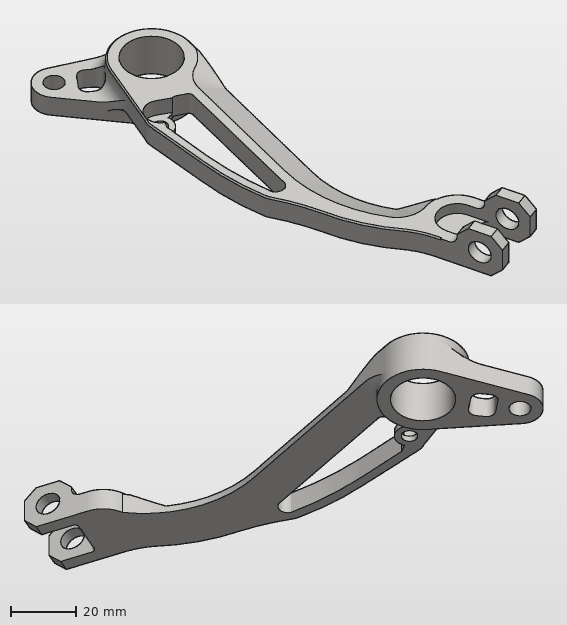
import cadquery as cq
import math


LUG_TOP = 7.2
ARM_BOTTOM = 7.2
ARM_TOP = 15.1
TOTAL_HEIGHT = 23.0

BOSS_RADIUS = 14.1
BORE_DIAMETER = 20.0
LUG_RADIUS = 7.0
LUG_X, LUG_Y = -25.1, -16.4
LUG_HOLE_DIAMETER = 6.7
LUG_WINDOW_DISTANCE = 18.6
LUG_WINDOW_WIDTH = 8.5
LUG_WINDOW_LENGTH = 10.3
LUG_WINDOW_CORNER = 2.8
UPPER_COVE_RADIUS = 5.5
LOWER_COVE_RADIUS = 4.0
COVE_OVERLAP = 1.7
FLANK_COVE_LENGTH = 17.2
NOTCH_RADIUS = 9.5

ARM_UPPER_SLOPE = 28.0
ARM_BEND_RADIUS = 42.2
ARM_BEND_X = 85.7
ARM_LOWER_SLOPE = 37.0
EDGE_CHAMFER = 0.5

BEVEL_WIDTH = 10.2
BEVEL_DEPTH = 5.3
BEVEL_END_X = 97.0
BEVEL_FORK_ANGLE = 120.0

PAD_X, PAD_Y = 14.5, -21.3
PAD_HOLE_DIAMETER = 5.0
PAD_RADIUS = 4.6
PAD_RECESS_RADIUS = 5.3
PAD_RECESS_DEPTH = 5.9

FORK_X, FORK_Y = 118.4, -22.9
FORK_WIDTH = 22.0
FORK_GAP = 13.8
FORK_FLOOR_END = 124.1
FORK_FLOOR_CORNER = 1.4
FORK_POCKET_DEPTH = 4.0
EAR_HALF_SIZE = (TOTAL_HEIGHT - ARM_BOTTOM) / 2
EAR_HOLE_DIAMETER = 8.0
EAR_END_X = 172.1 + LUG_X - LUG_RADIUS
EAR_CORNER = 4.0
EAR_ROOT_RADIUS = 3.0

THROUGH = 3 * TOTAL_HEIGHT
FORK_RADIUS = FORK_WIDTH / 2
FORK_LOW_Y = FORK_Y - FORK_RADIUS


def polar(radius, degrees, x=0.0, y=0.0):
    angle = math.radians(degrees)
    return (x + radius * math.cos(angle), y + radius * math.sin(angle))


def cylinder(x, y, diameter, bottom, height):
    return cq.Workplane("XY", origin=(x, y, bottom)).circle(diameter / 2).extrude(height)


upper_tangent = polar(BOSS_RADIUS, 90 - ARM_UPPER_SLOPE)
bend_start_x = ARM_BEND_X - ARM_BEND_RADIUS * math.sin(math.radians(ARM_UPPER_SLOPE))
bend_start_y = upper_tangent[1] - (bend_start_x - upper_tangent[0]) * math.tan(math.radians(ARM_UPPER_SLOPE))
bend_start = (bend_start_x, bend_start_y)
bend_center_y = bend_start_y + ARM_BEND_RADIUS * math.cos(math.radians(ARM_UPPER_SLOPE))


def on_bend(x):
    return (x, bend_center_y - math.sqrt(ARM_BEND_RADIUS**2 - (x - ARM_BEND_X) ** 2))


def circle_crossing():
    """Lower-left meeting point of the bend and the rounded fork end."""
    dx, dy = FORK_X - ARM_BEND_X, FORK_Y - bend_center_y
    distance = math.hypot(dx, dy)
    along = (distance**2 + ARM_BEND_RADIUS**2 - FORK_RADIUS**2) / (2 * distance)
    across = math.sqrt(ARM_BEND_RADIUS**2 - along**2)
    return (
        ARM_BEND_X + (along * dx + across * dy) / distance,
        bend_center_y + (along * dy - across * dx) / distance,
    )


lug_axis = math.degrees(math.atan2(LUG_Y, LUG_X))
lug_spread = math.degrees(math.acos((BOSS_RADIUS - LUG_RADIUS) / math.hypot(LUG_X, LUG_Y)))
arm_flank_normal = 270 - ARM_LOWER_SLOPE
lug_flank_normal = (lug_axis + lug_spread) % 360


def arm_blank():
    lower_tangent = polar(BOSS_RADIUS, arm_flank_normal)
    fork_join = circle_crossing()
    return (
        cq.Workplane("XY", origin=(0, 0, ARM_BOTTOM))
        .moveTo(*upper_tangent)
        .lineTo(*bend_start)
        .threePointArc(on_bend(ARM_BEND_X), fork_join)
        .threePointArc(polar(FORK_RADIUS, 125, FORK_X, FORK_Y), (FORK_X, FORK_Y + FORK_RADIUS))
        .lineTo(FORK_X, FORK_LOW_Y)
        .lineTo(116.2, FORK_LOW_Y)
        .threePointArc((111.9, -34.2), (107.4, -35.3))
        .threePointArc((93.8, -39.0), (79.9, -40.0))
        .threePointArc((71.8, -40.3), (63.7, -41.5))
        .threePointArc((62.5, -41.7), (61.3, -41.7))
        .threePointArc((48.9, -39.8), (37.0, -36.3))
        .lineTo(14.6, -28.5)
        .threePointArc((13.3, -27.9), (12.0, -26.8))
        .lineTo(*lower_tangent)
        .threePointArc((-BOSS_RADIUS, 0), upper_tangent)
        .close()
        .extrude(ARM_TOP - ARM_BOTTOM)
    )


def lug_plate(bottom, height):
    """Plate tangent to the lug circle and the boss circle."""
    return (
        cq.Workplane("XY", origin=(0, 0, bottom))
        .moveTo(*polar(BOSS_RADIUS, lug_axis + lug_spread))
        .threePointArc(polar(BOSS_RADIUS, lug_axis + 180), polar(BOSS_RADIUS, lug_axis - lug_spread))
        .lineTo(*polar(LUG_RADIUS, lug_axis - lug_spread, LUG_X, LUG_Y))
        .threePointArc(
            polar(LUG_RADIUS, lug_axis, LUG_X, LUG_Y),
            polar(LUG_RADIUS, lug_axis + lug_spread, LUG_X, LUG_Y),
        )
        .close()
        .extrude(height)
    )


def notch_fill():
    """Web that rounds the notch between the lug flank and the arm flank."""
    half_turn = (lug_flank_normal - arm_flank_normal) / 2
    bisector = arm_flank_normal + half_turn
    shrink = math.cos(math.radians(half_turn))
    center = polar((BOSS_RADIUS + NOTCH_RADIUS) / shrink, bisector)
    return (
        cq.Workplane("XY")
        .moveTo(0, 0)
        .lineTo(*polar(NOTCH_RADIUS, lug_flank_normal + 180, *center))
        .threePointArc(
            polar(NOTCH_RADIUS, bisector + 180, *center),
            polar(NOTCH_RADIUS, arm_flank_normal + 180, *center),
        )
        .close()
        .extrude(ARM_TOP)
    )


def boss_cove(level, radius, direction, flank_normal):
    """Concave fillet around the boss and along the flank tangent to it."""
    hollow = polar(radius, -135, BOSS_RADIUS + radius, radius)
    section = (
        cq.Workplane("XZ")
        .moveTo(BOSS_RADIUS - COVE_OVERLAP, 0)
        .lineTo(BOSS_RADIUS + radius, 0)
        .threePointArc(hollow, (BOSS_RADIUS, radius))
        .lineTo(BOSS_RADIUS - COVE_OVERLAP, radius)
        .close()
    )
    ring = section.revolve(360, (0, 0, 0), (0, 1, 0))
    length = -direction * FLANK_COVE_LENGTH
    flank = section.toPending().extrude(length).rotate((0, 0, 0), (0, 0, 1), flank_normal)
    cove = ring.union(flank, clean=False)
    if direction < 0:
        cove = cove.mirror("XY")
    return cove.translate((0, 0, level))


def upper_cove():
    """Cove from the lug top up to the arm's side, kept within the lug outline."""
    footprint = lug_plate(LUG_TOP, UPPER_COVE_RADIUS).union(notch_fill(), clean=False)
    return boss_cove(LUG_TOP, UPPER_COVE_RADIUS, 1, arm_flank_normal).intersect(footprint)


def lower_cove():
    """Cove from the boss's side up to the arm's underside, kept within the arm outline."""
    footprint = arm_blank().translate((0, 0, -LOWER_COVE_RADIUS)).union(notch_fill(), clean=False)
    return boss_cove(ARM_BOTTOM, LOWER_COVE_RADIUS, -1, lug_flank_normal).intersect(footprint)


def swept_bevel(center, edge_radius, crest_radius, first_angle, last_angle):
    """Triangular bevel section turned about a vertical axis between two angles."""
    foot = ARM_TOP - BEVEL_DEPTH
    return (
        cq.Workplane("XZ")
        .polyline([(edge_radius, foot), (crest_radius, ARM_TOP), (edge_radius, ARM_TOP)])
        .close()
        .revolve(last_angle - first_angle, (0, 0, 0), (0, 1, 0))
        .rotate((0, 0, 0), (0, 0, 1), first_angle)
        .translate((center[0], center[1], 0))
    )


def bevel_cone(point):
    """Round end of the bevel, pointing down onto the arm's edge."""
    return cq.Workplane(
        cq.Solid.makeCone(0, BEVEL_WIDTH, BEVEL_DEPTH, cq.Vector(*point, ARM_TOP - BEVEL_DEPTH))
    )


def bevel_cutters():
    boss_reach = BOSS_RADIUS + BEVEL_WIDTH
    along_edge = math.sqrt(boss_reach**2 - BOSS_RADIUS**2)
    start_angle = 90 - ARM_UPPER_SLOPE - math.degrees(math.atan2(along_edge, BOSS_RADIUS))
    start = polar(boss_reach, start_angle)
    end = on_bend(BEVEL_END_X)

    straight_length = math.hypot(bend_start[0] - start[0], bend_start[1] - start[1])
    straight = (
        cq.Workplane("YZ")
        .polyline([(0, ARM_TOP - BEVEL_DEPTH), (-BEVEL_WIDTH, ARM_TOP), (0, ARM_TOP)])
        .close()
        .extrude(straight_length)
        .rotate((0, 0, 0), (0, 0, 1), -ARM_UPPER_SLOPE)
        .translate((start[0], start[1], 0))
    )

    bend_center = (ARM_BEND_X, bend_center_y)
    end_angle = math.degrees(math.atan2(end[1] - bend_center_y, end[0] - ARM_BEND_X))
    bend = swept_bevel(
        bend_center, ARM_BEND_RADIUS, ARM_BEND_RADIUS + BEVEL_WIDTH, -90 - ARM_UPPER_SLOPE, end_angle
    )

    around_boss = swept_bevel((0, 0), boss_reach, BOSS_RADIUS, start_angle, 90 - ARM_UPPER_SLOPE)

    fork_reach = math.hypot(end[0] - FORK_X, end[1] - FORK_Y)
    fork_angle = math.degrees(math.atan2(end[1] - FORK_Y, end[0] - FORK_X)) % 360
    around_fork = swept_bevel(
        (FORK_X, FORK_Y), fork_reach, fork_reach - BEVEL_WIDTH, BEVEL_FORK_ANGLE, fork_angle
    )
    return [straight, bend, around_boss, around_fork, bevel_cone(start), bevel_cone(end)]


def fork_ears():
    middle_x = EAR_END_X - EAR_HALF_SIZE
    left_x = middle_x - EAR_HALF_SIZE
    shoulder = TOTAL_HEIGHT - EAR_CORNER
    root_mid = polar(EAR_ROOT_RADIUS, -45, left_x - EAR_ROOT_RADIUS, ARM_TOP + EAR_ROOT_RADIUS)
    ears = (
        cq.Workplane("XZ", origin=(0, FORK_LOW_Y, 0))
        .moveTo(FORK_X, ARM_BOTTOM)
        .lineTo(EAR_END_X - EAR_CORNER, ARM_BOTTOM)
        .lineTo(EAR_END_X, ARM_BOTTOM + EAR_CORNER)
        .lineTo(EAR_END_X, shoulder)
        .lineTo(EAR_END_X - EAR_CORNER, TOTAL_HEIGHT)
        .lineTo(left_x + EAR_CORNER, TOTAL_HEIGHT)
        .lineTo(left_x, shoulder)
        .lineTo(left_x, ARM_TOP + EAR_ROOT_RADIUS)
        .threePointArc(root_mid, (left_x - EAR_ROOT_RADIUS, ARM_TOP))
        .lineTo(FORK_X, ARM_TOP)
        .close()
        .extrude(-FORK_WIDTH)
    )
    pin_hole = (
        cq.Workplane("XZ", origin=(middle_x, FORK_LOW_Y, ARM_BOTTOM + EAR_HALF_SIZE))
        .circle(EAR_HOLE_DIAMETER / 2)
        .extrude(-FORK_WIDTH)
    )
    return ears.cut(pin_hole)


def fork_gap():
    gap_length = EAR_END_X - FORK_FLOOR_END
    gap = (
        cq.Workplane("XY")
        .box(gap_length, FORK_GAP, THROUGH, centered=(False, True, True))
        .edges("|Z and <X")
        .fillet(FORK_FLOOR_CORNER)
        .translate((FORK_FLOOR_END, FORK_Y, 0))
    )
    floor = ARM_TOP - FORK_POCKET_DEPTH
    pocket = (
        cq.Workplane("XY", origin=(FORK_X, FORK_Y, floor))
        .rect(EAR_END_X - FORK_X, FORK_GAP, centered=(False, True))
        .extrude(TOTAL_HEIGHT)
    )
    return gap.union(pocket).union(cylinder(FORK_X, FORK_Y, FORK_GAP, floor, TOTAL_HEIGHT))


def arm_window():
    window = (
        cq.Workplane("XY", origin=(0, 0, ARM_BOTTOM))
        .moveTo(20.0, -10.0)
        .lineTo(62.6, -32.5)
        .threePointArc((65.0, -35.5), (62.3, -38.5))
        .threePointArc((49.4, -36.5), (37.0, -33.0))
        .lineTo(19.6, -26.8)
        .lineTo(PAD_X, PAD_Y)
        .lineTo(14.8, -14.5)
        .threePointArc((14.6, -13.6), (15.1, -12.5))
        .lineTo(17.5, -10.2)
        .threePointArc((18.8, -9.6), (20.0, -10.0))
        .close()
        .extrude(ARM_TOP - ARM_BOTTOM)
    )
    return window.cut(cylinder(PAD_X, PAD_Y, 2 * PAD_RADIUS, 0, THROUGH))


def pad_recess():
    floor = ARM_TOP - PAD_RECESS_DEPTH
    flank = (
        cq.Workplane("XY", origin=(0, 0, floor))
        .polyline([
            polar(PAD_RECESS_RADIUS, 132, PAD_X, PAD_Y),
            (14.8, -13.8),
            (19.6, -19.0),
            (19.6, -26.8),
            (PAD_X, PAD_Y),
        ])
        .close()
        .extrude(PAD_RECESS_DEPTH)
    )
    return flank.union(cylinder(PAD_X, PAD_Y, 2 * PAD_RECESS_RADIUS, floor, PAD_RECESS_DEPTH))


def lug_window():
    return (
        cq.Workplane("XY")
        .box(LUG_WINDOW_WIDTH, LUG_WINDOW_LENGTH, THROUGH)
        .edges("|Z")
        .fillet(LUG_WINDOW_CORNER)
        .translate((LUG_WINDOW_DISTANCE, 0, 0))
        .rotate((0, 0, 0), (0, 0, 1), lug_axis)
    )


def chamfered_arm():
    """Arm with its top edge broken along the lower side and around the boss."""
    blank = arm_blank()
    outer_edges = blank.faces(">Z").edges().filter(
        lambda edge: edge.Center().x < 3.5 or (edge.Center().y < -25.8 and edge.Center().x < FORK_X - 3.5)
    )
    return outer_edges.chamfer(EDGE_CHAMFER)


body = chamfered_arm()
for addition in (lug_plate(0, LUG_TOP), upper_cove(), lower_cove(), fork_ears()):
    body = body.union(addition, clean=False)

for cutter in (
    *bevel_cutters(),
    fork_gap(),
    arm_window(),
    pad_recess(),
    lug_window(),
    cylinder(0, 0, BORE_DIAMETER, 0, THROUGH),
    cylinder(LUG_X, LUG_Y, LUG_HOLE_DIAMETER, 0, THROUGH),
    cylinder(PAD_X, PAD_Y, PAD_HOLE_DIAMETER, 0, THROUGH),
):
    body = body.cut(cutter, clean=False)

result = cq.Workplane(body.solids().val())